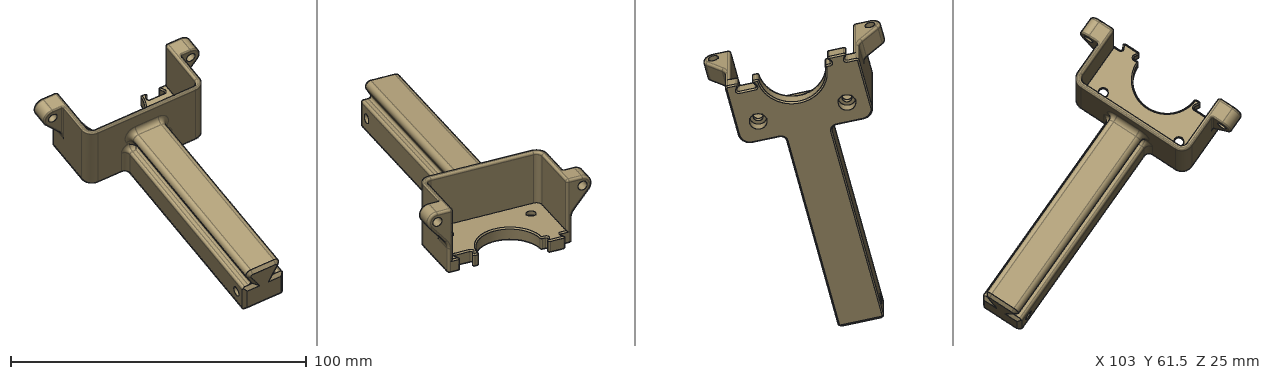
import cadquery as cq
import math

TOTAL_LENGTH = 103.0
HEIGHT = 25.0
EAR_SPAN = 61.5

BRACKET_DEPTH = 23.4
BRACKET_HALF_WIDTH = 23.3
WALL = 2.0
CORNER_RADIUS = 4.0
FLOOR = 5.0
RIM_ROUND = 0.9
OUTER_ROUND = 0.5
EDGE_CHAMFER = 0.5
SCREW_HOLE = 3.4
MOUNT_HOLE_X = 15.7
MOUNT_HOLE_Y = 15.5
MOUNT_HEAD_DIAMETER = 6.0
MOUNT_HEAD_DEPTH = 3.5

EAR_LENGTH = 7.1
EAR_RADIUS = 3.5
EAR_SLOPE_ANGLE = 40.0
EAR_BOTTOM = 9.7
EAR_ROOT_ROUND = 0.5

BORE_RADIUS = 11.5
DOVETAIL_Y = 16.3
DOVETAIL_LENGTH = 2.9
DOVETAIL_TIP = 3.6
DOVETAIL_ANGLE = 30.0
DOVETAIL_CLEARANCE = 0.2
DOVETAIL_ROUND = 0.6

ARM_HEIGHT = 17.6
ARM_HALF_WIDTH = 7.9
HEAD_FLAT = 4.5
HEAD_RADIUS = 2.0
FLANK_ANGLE = 30.0
LEDGE_Z = 10.6
GROOVE_RADIUS = 0.9
LEDGE_ROUND = 1.0
ARM_END_CHAMFER = 1.2
ARM_ROOT_FILLET = 2.1
PIN_FROM_END = 5.0
PIN_Z = 5.4

TOLERANCE = 0.01

ARM_END = TOTAL_LENGTH - DOVETAIL_LENGTH
INNER_HALF_WIDTH = BRACKET_HALF_WIDTH - WALL
EAR_HOLE_Y = EAR_SPAN / 2 - EAR_RADIUS
EAR_HOLE_Z = HEIGHT - EAR_RADIUS


def make_ear():
    """Ear on the +Y side: a round lug blended down into the wall."""
    slope = math.radians(EAR_SLOPE_ANGLE)
    lug_y = EAR_HOLE_Y + EAR_RADIUS * math.cos(slope)
    lug_z = EAR_HOLE_Z - EAR_RADIUS * math.sin(slope)
    corner_z = lug_z - (lug_y - BRACKET_HALF_WIDTH) / math.tan(slope)
    blend = corner_z - EAR_BOTTOM
    blend_radius = blend / math.tan(slope / 2)
    blend_centre_y = BRACKET_HALF_WIDTH + blend_radius

    def blend_point(angle):
        return (
            blend_centre_y - blend_radius * math.cos(angle),
            EAR_BOTTOM + blend_radius * math.sin(angle),
        )

    inside_y = BRACKET_HALF_WIDTH - WALL / 2
    return (
        cq.Workplane("YZ")
        .moveTo(inside_y, HEIGHT)
        .lineTo(EAR_HOLE_Y, HEIGHT)
        .threePointArc((lug_y, 2 * EAR_HOLE_Z - lug_z), (lug_y, lug_z))
        .lineTo(*blend_point(slope))
        .threePointArc(blend_point(slope / 2), blend_point(0))
        .lineTo(inside_y, EAR_BOTTOM)
        .close()
        .extrude(EAR_LENGTH)
    )


def make_wall():
    """U-shaped wall, open at the front, with both ears and all rounded edges."""
    outer = (
        cq.Workplane("XY")
        .box(BRACKET_DEPTH, 2 * BRACKET_HALF_WIDTH, HEIGHT, centered=(False, True, False))
        .edges("|Z and >X")
        .fillet(CORNER_RADIUS)
    )
    cavity = (
        cq.Workplane("XY")
        .box(BRACKET_DEPTH - WALL, 2 * INNER_HALF_WIDTH, HEIGHT, centered=(False, True, False))
        .edges("|Z and >X")
        .fillet(CORNER_RADIUS - WALL)
    )
    ear = make_ear()
    wall = outer.cut(cavity).union(ear).union(ear.mirror("XZ"))
    roots = cq.selectors.BoxSelector(
        (EAR_LENGTH - TOLERANCE, -BRACKET_HALF_WIDTH - TOLERANCE, EAR_BOTTOM),
        (EAR_LENGTH + TOLERANCE, BRACKET_HALF_WIDTH + TOLERANCE, HEIGHT),
    )
    wall = wall.edges(roots).fillet(EAR_ROOT_ROUND)
    cavity_rim = cq.selectors.BoxSelector(
        (TOLERANCE, -INNER_HALF_WIDTH - TOLERANCE, HEIGHT - TOLERANCE),
        (BRACKET_DEPTH - WALL + TOLERANCE, INNER_HALF_WIDTH + TOLERANCE, HEIGHT + TOLERANCE),
    )
    inner_rim = wall.faces(">Z").edges(cavity_rim)
    front = wall.faces("<X").edges("not <Z")
    wall = front.add(inner_rim.vals()).fillet(RIM_ROUND)

    return wall.faces(">Z").edges(">X").fillet(OUTER_ROUND)


def dovetail(centre_y, half_tip, direction, length):
    """Dovetail prism that widens from the front edge in the given X direction."""
    half_root = half_tip - length * math.tan(math.radians(DOVETAIL_ANGLE))
    tip_x = direction * length
    return (
        cq.Workplane("XY")
        .polyline([
            (0, centre_y - half_root),
            (tip_x, centre_y - half_tip),
            (tip_x, centre_y + half_tip),
            (0, centre_y + half_root),
        ])
        .close()
        .extrude(FLOOR)
    )


def make_floor():
    """Floor plate with the bore, the dovetail socket and the dovetail tongue on its front edge."""
    half_width = BRACKET_HALF_WIDTH - RIM_ROUND
    depth = BRACKET_DEPTH - WALL / 2
    socket_length = DOVETAIL_LENGTH + DOVETAIL_CLEARANCE
    floor = (
        cq.Workplane("XY")
        .box(depth, 2 * half_width, FLOOR, centered=(False, True, False))
        .edges("|Z and >X")
        .fillet(CORNER_RADIUS - WALL)
        .cut(cq.Workplane("XY").circle(BORE_RADIUS).extrude(FLOOR))
        .cut(dovetail(DOVETAIL_Y, DOVETAIL_TIP + DOVETAIL_CLEARANCE, 1, socket_length))
        .union(dovetail(-DOVETAIL_Y, DOVETAIL_TIP, -1, DOVETAIL_LENGTH))
    )
    front_corners = cq.selectors.BoxSelector(
        (-DOVETAIL_LENGTH - TOLERANCE, -half_width + TOLERANCE, 0),
        (socket_length + TOLERANCE, half_width - TOLERANCE, FLOOR),
    )
    floor = floor.edges("|Z").edges(front_corners).fillet(DOVETAIL_ROUND)
    return floor.faces(">Z").chamfer(EDGE_CHAMFER)


def blend_into_wall(beam):
    """Join a beam to a piece of the back wall with a fillet all round its root, except underneath."""
    plate_thickness = WALL / 2
    plate_half_width = ARM_HALF_WIDTH + 2 * ARM_ROOT_FILLET
    plate_height = ARM_HEIGHT + 2 * ARM_ROOT_FILLET
    plate = (
        cq.Workplane("XY")
        .box(plate_thickness, 2 * plate_half_width, plate_height, centered=(False, True, False))
        .translate((BRACKET_DEPTH - plate_thickness, 0, 0))
    )
    root_edges = cq.selectors.BoxSelector(
        (BRACKET_DEPTH - TOLERANCE, -plate_half_width + TOLERANCE, TOLERANCE),
        (BRACKET_DEPTH + TOLERANCE, plate_half_width - TOLERANCE, plate_height - TOLERANCE),
    )
    return plate.union(beam).edges(root_edges).fillet(ARM_ROOT_FILLET)


def make_arm():
    """Arm behind the bracket: base, head and the rounded bottoms of the side grooves."""
    length = ARM_END - BRACKET_DEPTH

    bar = (
        cq.Workplane("XY")
        .box(length, 2 * ARM_HALF_WIDTH, LEDGE_Z, centered=(False, True, False))
        .translate((BRACKET_DEPTH, 0, 0))
        .faces(">X")
        .chamfer(ARM_END_CHAMFER)
        .faces(">Z")
        .edges("|X")
        .fillet(LEDGE_ROUND)
    )
    base = blend_into_wall(bar)

    lean = math.radians(FLANK_ANGLE)
    head_z = ARM_HEIGHT - HEAD_RADIUS
    flank_y = HEAD_FLAT + HEAD_RADIUS * math.cos(lean)
    flank_z = head_z - HEAD_RADIUS * math.sin(lean)
    head_middle = (flank_y, head_z + HEAD_RADIUS * math.sin(lean))
    foot_z = LEDGE_Z / 2
    foot_y = flank_y - (flank_z - foot_z) * math.tan(lean)
    rail = (
        cq.Workplane("YZ")
        .moveTo(-foot_y, foot_z)
        .lineTo(-flank_y, flank_z)
        .threePointArc((-head_middle[0], head_middle[1]), (-HEAD_FLAT, ARM_HEIGHT))
        .lineTo(HEAD_FLAT, ARM_HEIGHT)
        .threePointArc(head_middle, (flank_y, flank_z))
        .lineTo(foot_y, foot_z)
        .close()
        .extrude(length)
        .translate((BRACKET_DEPTH, 0, 0))
        .faces(">X")
        .chamfer(ARM_END_CHAMFER)
    )
    head = blend_into_wall(rail)

    corner_y = flank_y - (flank_z - LEDGE_Z) * math.tan(lean)
    tangent_length = GROOVE_RADIUS / math.tan((math.pi / 2 - lean) / 2)
    ledge_y = corner_y + tangent_length
    groove_bottom_y = ledge_y - GROOVE_RADIUS
    groove_z = LEDGE_Z + GROOVE_RADIUS
    groove_top = (
        ledge_y - GROOVE_RADIUS * math.cos(lean),
        groove_z + GROOVE_RADIUS * math.sin(lean),
    )
    grooves = (
        cq.Workplane("YZ")
        .moveTo(-ledge_y, LEDGE_Z)
        .threePointArc((-groove_bottom_y, groove_z), (-groove_top[0], groove_top[1]))
        .lineTo(*groove_top)
        .threePointArc((groove_bottom_y, groove_z), (ledge_y, LEDGE_Z))
        .lineTo(foot_y, foot_z)
        .lineTo(-foot_y, foot_z)
        .close()
        .extrude(length - ARM_END_CHAMFER)
        .translate((BRACKET_DEPTH, 0, 0))
    )
    return base.union(head).union(grooves)


def drill(plane, points):
    """Screw-sized holes through everything, at the given points of a plane through the origin."""
    return (
        cq.Workplane(plane)
        .pushPoints(points)
        .circle(SCREW_HOLE / 2)
        .extrude(TOTAL_LENGTH, both=True)
    )


body = make_wall().union(make_floor()).union(make_arm())

body = body.faces("<Z").edges("not >X").chamfer(EDGE_CHAMFER)

mount_points = [(MOUNT_HOLE_X, MOUNT_HOLE_Y), (MOUNT_HOLE_X, -MOUNT_HOLE_Y)]
mount_holes = drill("XY", mount_points)
head_recesses = (
    cq.Workplane("XY")
    .pushPoints(mount_points)
    .circle(MOUNT_HEAD_DIAMETER / 2)
    .extrude(MOUNT_HEAD_DEPTH)
)

ear_holes = drill("YZ", [(EAR_HOLE_Y, EAR_HOLE_Z), (-EAR_HOLE_Y, EAR_HOLE_Z)])
pin_hole = drill("XZ", [(ARM_END - PIN_FROM_END, PIN_Z)])

result = body.cut(mount_holes).cut(head_recesses).cut(ear_holes).cut(pin_hole)